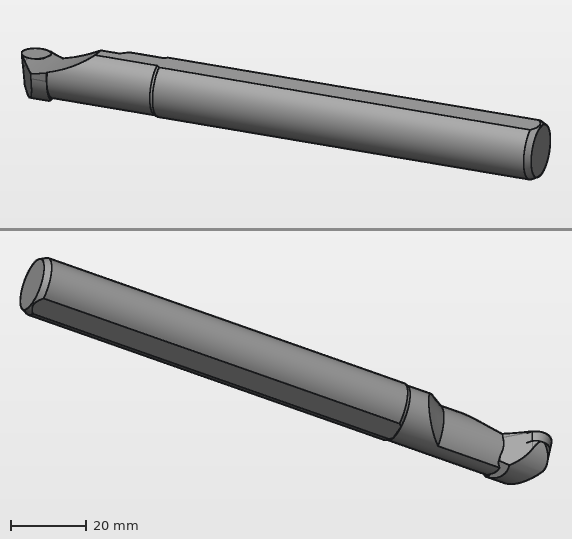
import cadquery as cq
import math

bar_length = 150.0

shank_diameter = 16.0
shank_radius = shank_diameter / 2
shank_start = 42.8
flat_height = 7.4
end_chamfer_length = 1.8
end_chamfer_depth = 0.9

neck_diameter = 15.5
neck_radius = neck_diameter / 2
neck_start = 11.7
step_length = 0.9

relief_radius = 10.2
relief_axis_y = -6.2
relief_end = 30.0
relief_ramp_angle = 30.0
relief_ramp_length = 9.0

head_radius = 9.5
head_axis_y = 1.5
head_axis_z = 0.2
head_length = 12.6
head_bevel_start = 10.2
head_bevel_angle = 45.0

insert_diameter = 8.0
insert_radius = insert_diameter / 2
insert_x = insert_radius
insert_y = 7.0
insert_thickness = 3.0
clearance_angle = 7.0
rake_angle = 5.0
rake_height = 0.6
lead_angle = 30.0
back_angle = 45.0

outline_end_x = 14.1
outline_low_y = -12.0
outline_depth = 13.5

gullet_start = 3.0
gullet_radius = 37.8
gullet_sweep = 45.0
gullet_width = 45.0
gullet_top = 18.0


def sin(angle):
    return math.sin(math.radians(angle))


def cos(angle):
    return math.cos(math.radians(angle))


def tan(angle):
    return math.tan(math.radians(angle))


def turned(profile, axis_y=0.0):
    """Revolve (x, radius) points about an axis parallel to X."""
    points = [(x, axis_y + radius) for x, radius in profile]
    return cq.Workplane("XY").polyline(points).close().revolve(360, (0, axis_y, 0), (1, axis_y, 0))


def tilted(shape):
    """Move a shape from the level frame of the rake face to its place on the bar."""
    return shape.rotate((0, 0, 0), (1, 0, 0), -rake_angle).translate((0, 0, rake_height))


def insert_rim(angle):
    return insert_x + insert_radius * cos(angle), insert_y + insert_radius * sin(angle)


def make_insert():
    disc = cq.Workplane("XY").center(insert_x, insert_y).circle(insert_radius)
    return tilted(disc.extrude(-insert_thickness, taper=clearance_angle))


def make_relief_envelope():
    ramp_end = relief_end + relief_ramp_length
    ramp_radius = relief_radius + relief_ramp_length * tan(relief_ramp_angle)
    return turned(
        [(0, 0), (0, relief_radius), (relief_end, relief_radius), (ramp_end, ramp_radius),
         (bar_length, ramp_radius), (bar_length, 0)],
        relief_axis_y,
    )


def make_bar():
    """Round neck and shank, joined by a short cone, with the relief on the +Y side."""
    step_start = shank_start - step_length
    chamfer_start = bar_length - end_chamfer_length
    bar = turned(
        [(0, 0), (0, neck_radius), (step_start, neck_radius), (shank_start, shank_radius),
         (chamfer_start, shank_radius), (bar_length, shank_radius - end_chamfer_depth), (bar_length, 0)]
    )
    return bar.intersect(make_relief_envelope())


def make_head_outline():
    """Drafted prism that wraps the insert and widens along its lead and back walls."""
    lead_rim = insert_rim(180 + lead_angle)
    back_rim = insert_rim(back_angle)
    tip_rim = insert_rim((180 + lead_angle + back_angle) / 2)
    lead_end_x = lead_rim[0] + (lead_rim[1] - outline_low_y) * tan(lead_angle)
    back_end_y = back_rim[1] - (outline_end_x - back_rim[0]) / tan(back_angle)
    outline = (
        cq.Workplane("XY")
        .moveTo(*back_rim)
        .threePointArc(tip_rim, lead_rim)
        .lineTo(lead_end_x, outline_low_y)
        .lineTo(outline_end_x, outline_low_y)
        .lineTo(outline_end_x, back_end_y)
        .close()
    )
    below = outline.extrude(-outline_depth, taper=clearance_angle)
    above = below.faces(">Z").wires().toPending().extrude(outline_depth, combine=False)
    return tilted(below.union(above))


def make_gullet():
    """Volume above the rake face, rising in an arc to the top of the neck."""
    arc_middle = gullet_sweep / 2
    arc_end_x = gullet_start + gullet_radius * sin(gullet_sweep)
    profile = (
        cq.Workplane("XZ")
        .moveTo(-gullet_start, 0)
        .lineTo(gullet_start, 0)
        .threePointArc(
            (gullet_start + gullet_radius * sin(arc_middle), gullet_radius * (1 - cos(arc_middle))),
            (arc_end_x, gullet_radius * (1 - cos(gullet_sweep))),
        )
        .lineTo(arc_end_x, gullet_top)
        .lineTo(-gullet_start, gullet_top)
        .close()
    )
    return tilted(profile.extrude(gullet_width / 2, both=True))


def make_head():
    """Round lower half with an upright -Y wall above it, beveled underneath toward the neck."""
    barrel = cq.Workplane("YZ").center(head_axis_y, head_axis_z).circle(head_radius).extrude(head_length)
    wall = cq.Workplane("XY").box(head_length, head_radius, head_radius, centered=False)
    wall = wall.translate((0, head_axis_y - head_radius, head_axis_z))
    bottom = head_axis_z - head_radius
    bevel_length = head_length - head_bevel_start
    bevel = (
        cq.Workplane("XZ")
        .moveTo(head_bevel_start, bottom)
        .lineTo(head_length, bottom)
        .lineTo(head_length, bottom + bevel_length * tan(head_bevel_angle))
        .close()
        .extrude(2 * head_radius, both=True)
    )
    return barrel.union(wall).cut(bevel)


def make_holder(insert):
    bar = make_bar()
    bar_side = 4 * shank_radius
    bar_box = cq.Workplane("XY").box(bar_length, bar_side, bar_side, centered=(False, True, True))
    behind_head = bar.intersect(bar_box.translate((neck_start, 0, 0)))
    front = bar.cut(behind_head).union(make_head()).intersect(make_head_outline())
    holder = behind_head.union(front)

    flat_box = bar_box.translate((0, 0, flat_height + bar_side / 2))
    lower_flat = bar_box.translate((shank_start - step_length, 0, -flat_height - bar_side / 2))
    holder = holder.cut(flat_box).cut(lower_flat).cut(make_gullet())

    over_insert = cq.Workplane("XY").center(insert_x, insert_y).circle(insert_radius).extrude(gullet_top)
    return holder.cut(tilted(over_insert)).cut(insert)


insert = make_insert()
holder = make_holder(insert)

result = cq.Compound.makeCompound([holder.val(), insert.val()])